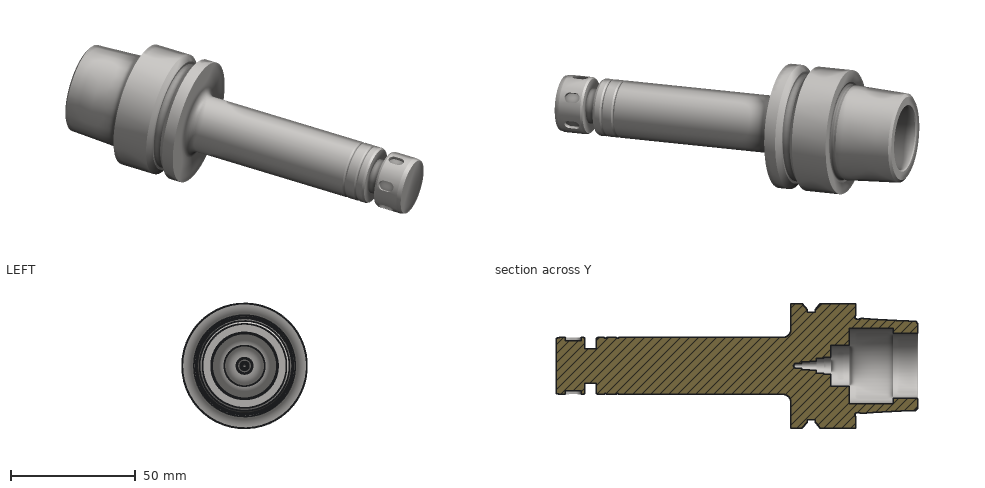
import cadquery as cq
import math

mouth_face_radius = 16.8
mouth_round_length = 0.9
shank_mouth_radius = 18.0
shank_base_radius = 19.1
taper_end = 22.8
relief_start = 23.6
relief_radius = 18.8
relief_end = 24.5
undercut_arc_radius = 0.7
undercut_rim_radius = 20.3

flange_radius = 50.0 / 2
flange_start = 25.0
flange_end = 51.0
groove_radius = 21.6
groove_start = 39.3
groove_wall_radius = 22.6
groove_wall_start = 41.2
groove_wall_end = 44.4
groove_end = 46.4

body_radius = 23.0 / 2
body_end = 128.9
body_end_chamfer = 0.9
root_radius = 3.0
ring_groove_starts = (119.6, 124.5)
ring_groove_width = 1.3
ring_groove_depth = 0.5

neck_radius = 14.0 / 2
nut_start = 133.3
nut_end = 145.0
nut_radius = 23.0 / 2
nut_rear_chamfer = 0.9
nut_front_chamfer = 1.7
chamfer_drop = 0.5

slot_count = 6
slot_length = 6.4
slot_width = 4.0
slot_depth = 1.5
slot_center = 138.0

bore_radius = 26.0 / 2
bore_chamfer = 0.5
shoulder_position = 10.0
clamping_radius = 15.1
clamping_depth = 27.5

coolant_steps = ((8.1, 34.8), (3.26, 37.7), (2.9, 40.6), (1.7, 43.5), (1.52, 46.4), (0.9, 49.3))
drill_point_angle = 118.0


def revolved(points):
    """Solid of revolution about X from an outline of (x, radius) points."""
    return cq.Workplane("XY").polyline(points).close().revolve(360, (0, 0, 0), (1, 0, 0))


def cylinder(start, end, radius):
    """Cylinder along X."""
    return cq.Workplane("YZ", origin=(start, 0, 0)).circle(radius).extrude(end - start)


def shank_and_flange():
    """Tapered shank and flange, joined by a relief whose rounded undercut dips into the flange face."""
    arc_center_radius = relief_radius + undercut_arc_radius
    arc_reach = undercut_arc_radius * math.sqrt(0.5)
    outline = (
        cq.Workplane("XY")
        .moveTo(0, 0)
        .lineTo(0, mouth_face_radius)
        .lineTo(mouth_round_length, shank_mouth_radius)
        .lineTo(taper_end, shank_base_radius)
        .lineTo(relief_start, relief_radius)
        .lineTo(relief_end, relief_radius)
        .threePointArc(
            (relief_end + arc_reach, arc_center_radius - arc_reach),
            (relief_end + undercut_arc_radius, arc_center_radius),
        )
        .lineTo(flange_start, undercut_rim_radius)
        .lineTo(flange_start, flange_radius)
        .lineTo(groove_start, flange_radius)
        .lineTo(groove_wall_start, groove_wall_radius)
        .lineTo(groove_wall_start, groove_radius)
        .lineTo(groove_wall_end, groove_radius)
        .lineTo(groove_wall_end, groove_wall_radius)
        .lineTo(groove_end, flange_radius)
        .lineTo(flange_end, flange_radius)
        .lineTo(flange_end, 0)
        .close()
    )
    return outline.revolve(360, (0, 0, 0), (1, 0, 0))


def body():
    """Body with a concave quarter-round where it meets the flange."""
    root_outer_radius = body_radius + root_radius
    root_end = flange_end + root_radius
    arc_reach = root_radius * math.sqrt(0.5)
    outline = (
        cq.Workplane("XY")
        .moveTo(flange_end, 0)
        .lineTo(flange_end, root_outer_radius)
        .threePointArc((root_end - arc_reach, root_outer_radius - arc_reach), (root_end, body_radius))
        .lineTo(body_end - body_end_chamfer, body_radius)
        .lineTo(body_end, body_radius - chamfer_drop)
        .lineTo(body_end, 0)
        .close()
    )
    return outline.revolve(360, (0, 0, 0), (1, 0, 0))


def ring_groove(start):
    """Shallow V-shaped ring cut into the body."""
    return revolved([
        (start, body_radius),
        (start + ring_groove_width / 2, body_radius - ring_groove_depth),
        (start + ring_groove_width, body_radius),
    ])


def nut():
    return revolved([
        (nut_start, 0),
        (nut_start, nut_radius - chamfer_drop),
        (nut_start + nut_rear_chamfer, nut_radius),
        (nut_end - nut_front_chamfer, nut_radius),
        (nut_end, nut_radius - chamfer_drop),
        (nut_end, 0),
    ])


def wrench_slots():
    """Flat-bottomed slots along X, spaced evenly around the nut."""
    slot = (
        cq.Workplane("XY", origin=(slot_center, 0, nut_radius - slot_depth))
        .slot2D(slot_length, slot_width)
        .extrude(2 * slot_depth)
    )
    slots = slot
    for index in range(1, slot_count):
        slots = slots.union(slot.rotate((0, 0, 0), (1, 0, 0), index * 360 / slot_count))
    return slots


def shank_bore():
    outline = [
        (0, 0),
        (0, bore_radius + bore_chamfer),
        (bore_chamfer, bore_radius),
        (shoulder_position, bore_radius),
        (shoulder_position, clamping_radius),
        (clamping_depth, clamping_radius),
    ]
    floor = clamping_depth
    for radius, step_floor in coolant_steps:
        outline += [(floor, radius), (step_floor, radius)]
        floor = step_floor
    tip_radius = coolant_steps[-1][0]
    outline.append((floor + tip_radius / math.tan(math.radians(drill_point_angle / 2)), 0))
    return revolved(outline)


result = shank_and_flange().union(body())
result = result.union(cylinder(body_end, nut_start, neck_radius)).union(nut())
for groove_position in ring_groove_starts:
    result = result.cut(ring_groove(groove_position))
result = result.cut(wrench_slots()).cut(shank_bore())